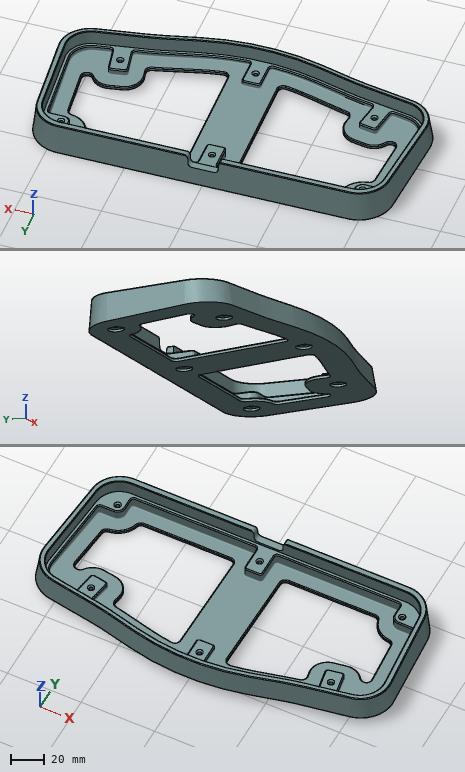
import cadquery as cq
import math

WIDTH = 239.93
DEPTH = 115.52
HEIGHT = 20.03
HALF_DEPTH = DEPTH / 2

TILT = 3.0
DRAFT = 7.3
FLOOR_THICKNESS = 2.2
BLANK_HEIGHT = 30.0

CORNER_RADIUS = 22.0
SIDE_ANGLE = 5.0
OUTER_FRONT_ANGLE = 10.0
INNER_FRONT_ANGLE = 14.2
NOSE_RADIUS = 163.0
BLEND_START_X = 59.7
BLEND_END_X = 72.0

CAVITY_INSET = 5.9
POCKET_INSET = 8.4
LEDGE_Z = 10.4
RIM_CHAMFER = 0.5
FLOOR_FILLET = 0.7
LEDGE_CHAMFER = 0.7

BOSS_HALF_WIDTH = 6.1
BOSS_REACH = 9.3
BOSS_LENGTH = 40.0
BOSS_CORNER_RADIUS = 2.0
SMOOTH_ANGLE = math.radians(3.0)
CENTRE_HOLE_Y = 40.0
FRONT_HOLE = (81.5, -24.8)
CORNER_HOLE = (96.7, 40.3)
CORNER_BOSS_RADIUS = 5.2
HOLE_DIAMETER = 2.42
COUNTERSINK_DIAMETER = 4.4
FOOT_RECESS_DIAMETER = 10.0
FOOT_RECESS_DEPTH = 1.5

WINDOW_BORDER = 10.0
WINDOW_CORNER_RADIUS = 3.5
WINDOW_CHAMFER = 0.6

NOTCH_HALF_WIDTH = 9.75
NOTCH_RADIUS = 2.9
NOTCH_FLOOR_Z = 11.9


def polar(centre, radius, angle):
    """Point at a radius and an angle in degrees from a centre."""
    turn = math.radians(angle)
    return (centre[0] + radius * math.cos(turn), centre[1] + radius * math.sin(turn))


def outline(plane, inset=0.0, half_depth=HALF_DEPTH):
    """Closed plan outline, moved inwards by inset; every arc keeps its centre."""
    side = 180 - SIDE_ANGLE
    outer_front = 270 - OUTER_FRONT_ANGLE
    inner_front = 270 - INNER_FRONT_ANGLE

    nose = (0, NOSE_RADIUS - half_depth)
    nose_end = polar(nose, NOSE_RADIUS, inner_front)
    blend_run = -BLEND_START_X - nose_end[0]
    blend_start = (-BLEND_START_X, nose_end[1] - blend_run * math.tan(math.radians(INNER_FRONT_ANGLE)))
    sine_change = math.sin(math.radians(INNER_FRONT_ANGLE)) - math.sin(math.radians(OUTER_FRONT_ANGLE))
    blend_radius = (BLEND_END_X - BLEND_START_X) / sine_change
    blend = polar(blend_start, blend_radius, inner_front)
    blend_end = polar(blend, -blend_radius, outer_front)

    front_x = CORNER_RADIUS - WIDTH / 2
    front_end = polar((front_x, 0), CORNER_RADIUS, outer_front)
    rise = (blend_end[0] - front_end[0]) * math.tan(math.radians(OUTER_FRONT_ANGLE))
    front = (front_x, blend_end[1] + rise - front_end[1])
    back_y = half_depth - CORNER_RADIUS
    back = (front_x + (back_y - front[1]) * math.tan(math.radians(SIDE_ANGLE)), back_y)

    arcs = [
        (back, CORNER_RADIUS - inset, 90, side),
        (front, CORNER_RADIUS - inset, side, outer_front),
        (blend, -blend_radius - inset, outer_front, inner_front),
    ]
    left = [[polar(c, r, a) for a in (start, (start + end) / 2, end)] for c, r, start, end in arcs]
    front_edge = [[polar(nose, NOSE_RADIUS - inset, a) for a in (inner_front, 270, 540 - inner_front)]]
    right = [[(-x, y) for x, y in reversed(points)] for points in reversed(left)]

    path = plane.moveTo(*left[0][0])
    path = path.threePointArc(*left[0][1:])
    for start, middle, end in left[1:] + front_edge + right:
        path = path.lineTo(*start).threePointArc(middle, end)
    return path.close()


def underside_plane():
    """Tilted sketch plane of the underside; its back edge lies at Z = 0."""
    tilt = math.radians(TILT)
    origin = (0, 0, HALF_DEPTH * math.tan(tilt))
    return cq.Workplane(cq.Plane(origin, (1, 0, 0), (0, math.sin(tilt), math.cos(tilt))))


def make_blank():
    """Drafted outer body, cut flat at the rim."""
    half_depth = HALF_DEPTH / math.cos(math.radians(TILT))
    body = outline(underside_plane(), half_depth=half_depth).extrude(BLANK_HEIGHT, taper=DRAFT)
    keep = cq.Workplane().box(2 * WIDTH, 2 * DEPTH, HEIGHT, centered=(True, True, False))
    return body.intersect(keep)


def straight_boss(hole, turn, border=0.0):
    """Tall prism of a boss, widened by border, that runs towards -Y before it is turned."""
    half_width = BOSS_HALF_WIDTH + border
    reach = BOSS_REACH + border
    boss = (
        cq.Workplane()
        .rect(2 * half_width, BOSS_LENGTH + reach)
        .extrude(HEIGHT)
        .translate((0, (reach - BOSS_LENGTH) / 2, 0))
    )
    return boss.rotate((0, 0, 0), (0, 0, 1), turn).translate((hole[0], hole[1], 0))


def front_boss(border=0.0):
    """Left boss on the front edge, square to that edge."""
    return straight_boss((-FRONT_HOLE[0], FRONT_HOLE[1]), -OUTER_FRONT_ANGLE, border)


def corner_boss():
    """Block that fills a back corner, rounded about its screw hole."""
    return (
        cq.Workplane()
        .rect(BOSS_LENGTH, BOSS_LENGTH)
        .extrude(HEIGHT)
        .edges("|Z and >X and <Y")
        .fillet(CORNER_BOSS_RADIUS)
        .translate((
            CORNER_BOSS_RADIUS - CORNER_HOLE[0] - BOSS_LENGTH / 2,
            CORNER_HOLE[1] - CORNER_BOSS_RADIUS + BOSS_LENGTH / 2,
            0,
        ))
    )


def mirrored(shape):
    """A shape on the left together with its mirror image on the right."""
    return shape.union(shape.mirror("YZ"))


def floor_block():
    """Everything below the top of the tilted floor."""
    return underside_plane().rect(2 * WIDTH, 2 * DEPTH).extrude(FLOOR_THICKNESS)


def sharp_upright_edges(part):
    """Upright edges at which two faces meet at an angle."""
    faces = part.faces().vals()

    def is_sharp(edge):
        middle = edge.Center()
        normals = [f.normalAt(middle) for f in faces if any(edge.isSame(e) for e in f.Edges())]
        return normals[0].getAngle(normals[1]) > SMOOTH_ANGLE

    return part.newObject([edge for edge in part.edges("|Z").vals() if is_sharp(edge)])


def make_pocket():
    """Room between the bosses, from the floor up to the ledge."""
    pocket = outline(cq.Workplane(), POCKET_INSET).extrude(LEDGE_Z)
    pocket = pocket.cut(straight_boss((0, CENTRE_HOLE_Y), 180))
    pocket = pocket.cut(straight_boss((0, -CENTRE_HOLE_Y), 0))
    pocket = pocket.cut(mirrored(front_boss()))
    pocket = pocket.cut(mirrored(corner_boss()))
    pocket = sharp_upright_edges(pocket).fillet(BOSS_CORNER_RADIUS)
    pocket = pocket.cut(floor_block())
    floor = pocket.faces(cq.selectors.ParallelDirSelector(underside_plane().plane.zDir))
    return floor.edges().fillet(FLOOR_FILLET)


def make_windows():
    """Two openings through the floor."""
    window = outline(cq.Workplane(), POCKET_INSET + WINDOW_BORDER).extrude(HEIGHT)
    web = cq.Workplane().rect(2 * (BOSS_HALF_WIDTH + WINDOW_BORDER), DEPTH).extrude(HEIGHT)
    left_half = cq.Workplane().box(WIDTH, 2 * DEPTH, 2 * HEIGHT).translate((-WIDTH / 2, 0, 0))
    corner_border = (
        cq.Workplane()
        .center(-CORNER_HOLE[0], CORNER_HOLE[1])
        .circle(CORNER_BOSS_RADIUS + WINDOW_BORDER)
        .extrude(HEIGHT)
    )
    boss_border = front_boss(WINDOW_BORDER)
    boss_border = boss_border.edges("|Z and (>Y or >X)").fillet(BOSS_CORNER_RADIUS + WINDOW_BORDER)
    window = window.intersect(left_half).cut(web).cut(corner_border)
    window = window.cut(boss_border)
    return mirrored(window.edges("|Z").fillet(WINDOW_CORNER_RADIUS))


def make_notch():
    """Opening in the middle of the back wall with rounded shoulders and floor corners."""
    top = HEIGHT
    r = NOTCH_RADIUS
    mouth = NOTCH_HALF_WIDTH + r
    bottom = NOTCH_HALF_WIDTH - r
    diagonal = r * math.sqrt(0.5)
    return (
        cq.Workplane("XZ", origin=(0, HALF_DEPTH, 0))
        .moveTo(-mouth, top)
        .threePointArc((diagonal - mouth, top - r + diagonal), (-NOTCH_HALF_WIDTH, top - r))
        .lineTo(-NOTCH_HALF_WIDTH, NOTCH_FLOOR_Z + r)
        .threePointArc((-bottom - diagonal, NOTCH_FLOOR_Z + r - diagonal), (-bottom, NOTCH_FLOOR_Z))
        .lineTo(bottom, NOTCH_FLOOR_Z)
        .threePointArc((bottom + diagonal, NOTCH_FLOOR_Z + r - diagonal), (NOTCH_HALF_WIDTH, NOTCH_FLOOR_Z + r))
        .lineTo(NOTCH_HALF_WIDTH, top - r)
        .threePointArc((mouth - diagonal, top - r + diagonal), (mouth, top))
        .close()
        .extrude(POCKET_INSET)
    )


def screw_hole(x, y):
    """Countersunk hole through a boss, open at the underside."""
    hole_radius = HOLE_DIAMETER / 2
    sink_radius = COUNTERSINK_DIAMETER / 2
    sink_depth = sink_radius - hole_radius
    hole = cq.Workplane().circle(hole_radius).extrude(LEDGE_Z)
    cone = cq.Solid.makeCone(hole_radius, sink_radius, sink_depth, pnt=cq.Vector(0, 0, LEDGE_Z - sink_depth))
    return hole.union(cq.Workplane(cone)).translate((x, y, 0))


def foot_recess(x, y):
    """Round recess in the underside below a screw hole."""
    plane = underside_plane().center(x, y / math.cos(math.radians(TILT)))
    return plane.circle(FOOT_RECESS_DIAMETER / 2).extrude(FOOT_RECESS_DEPTH)


def inner_edges(part, face):
    """Edges of the openings in a face."""
    return part.newObject([edge for wire in face.val().innerWires() for edge in wire.Edges()])


def chamfer_ledge(part):
    """Break the upper edge of the pocket, which runs along the ledge and round the bosses."""
    ledge = part.faces("|Z").faces("<Z")
    return inner_edges(part, ledge).chamfer(LEDGE_CHAMFER)


def chamfer_windows(part):
    """Break the upper edges of the windows."""
    floor = part.faces(cq.selectors.ParallelDirSelector(underside_plane().plane.zDir)).faces(">Z")
    return inner_edges(part, floor).chamfer(WINDOW_CHAMFER)


cavity = outline(cq.Workplane().workplane(offset=LEDGE_Z), CAVITY_INSET).extrude(HEIGHT)
result = make_blank().cut(cavity)
result = result.faces(">Z").chamfer(RIM_CHAMFER)
result = chamfer_ledge(result.cut(make_pocket()))
result = chamfer_windows(result.cut(make_windows()))
result = result.cut(make_notch())

holes = [(0, CENTRE_HOLE_Y), (0, -CENTRE_HOLE_Y)]
for x, y in (FRONT_HOLE, CORNER_HOLE):
    holes += [(-x, y), (x, y)]
for x, y in holes:
    result = result.cut(screw_hole(x, y)).cut(foot_recess(x, y))